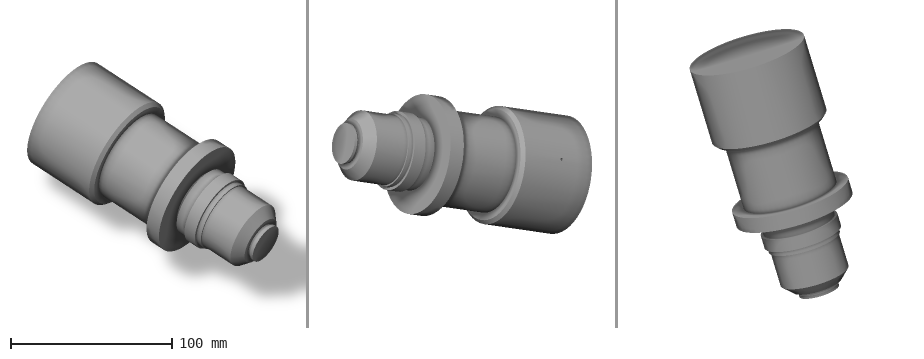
import cadquery as cq

overall_length = 160.45

head_radius = 37.0
head_end = 51.75
head_chamfer = 2.25

side_hole_x = 22.5
side_hole_diameter = 2.0
side_hole_depth = 2.0

barrel_radius = 30.0

flange_radius = 37.5
flange_start = 95.75
flange_end = 105.65

neck_radius = 20.0
ring_start = 107.95
ring_radius = 23.0
collar_start = 115.65
collar_radius = 24.75
collar_end = 123.95
ring_end = 127.35

rear_radius = 22.0
rear_end = 156.4
rear_taper = 6.25

groove_radius = 11.9
groove_end = 157.15
rim_radius = 12.8
rim_start = 158.6


def cylinder(start, end, radius):
    """Solid disc along X from start to end."""
    return cq.Workplane("YZ", origin=(start, 0, 0)).circle(radius).extrude(end - start)


def make_head():
    head = cylinder(0, head_end, head_radius).faces(">X").chamfer(head_chamfer)
    side_hole = (
        cq.Workplane("XZ", origin=(side_hole_x, head_radius, 0))
        .circle(side_hole_diameter / 2)
        .extrude(side_hole_depth)
    )
    return head.cut(side_hole)


def make_flanged_barrel():
    barrel = cylinder(head_end, flange_start, barrel_radius)
    flange = cylinder(flange_start, flange_end, flange_radius)
    return barrel.union(flange)


def make_rear_body():
    neck = cylinder(flange_end, ring_start, neck_radius)
    ring = cylinder(ring_start, ring_end, ring_radius)
    collar = cylinder(collar_start, collar_end, collar_radius)
    body = cylinder(ring_end, rear_end, rear_radius).faces(">X").chamfer(rear_taper)
    return neck.union(ring).union(collar).union(body)


def make_tip():
    half_profile = [
        (rear_end, 0),
        (rear_end, groove_radius),
        (groove_end, groove_radius),
        (rim_start, rim_radius),
        (overall_length, rim_radius),
        (overall_length, 0),
    ]
    return cq.Workplane("XY").polyline(half_profile).close().revolve(360, (0, 0, 0), (1, 0, 0))


result = make_head().union(make_flanged_barrel()).union(make_rear_body()).union(make_tip())